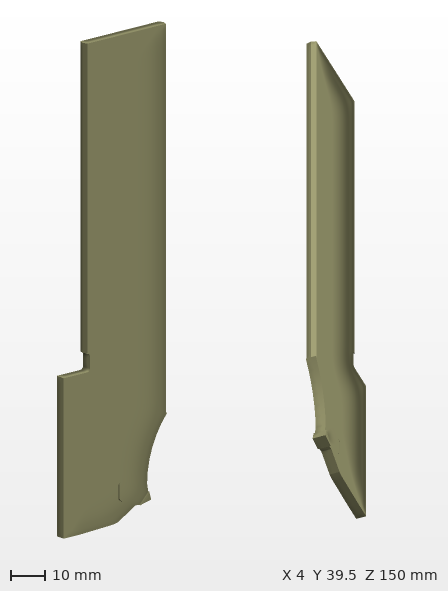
import cadquery as cq


height = 150.0
blade_thickness = 3.2
shank_back_y = 8.5
shank_front_y = 39.5
bevel_depth = 0.5
cut_size = 7.5

notch_bottom_z = 49.2
notch_top_z = 54.9
notch_y = 10.0
notch_radius = 1.2

throat_top = (shank_front_y, 30.6)
throat_middle = (34.2, 22.2)
insert_top_front = (31.8, 10.4)
chin_top = (27.3, 4.6)
chin_bottom = (20.8, 0.9)
chin_curve_middle = (19.6, 0.6)
base_front = (18.3, 0.5)
base_flat_y = 6.0

insert_top_bend = (24.3, 13.0)
insert_top_back = (21.8, 13.0)
insert_back_y = 21.3
insert_back_top_z = 12.3
insert_back_bottom_z = 7.8
insert_bottom_bend = (22.8, 6.3)
insert_heel = (28.8, 4.5)
insert_tip = (33.0, 5.4)
seat_clearance = 0.5
cutting_width = 4.0
corner_top = (32.2, 8.0)


def extrude_profile(sketch, width):
    """Extrude a closed YZ outline symmetrically about X = 0."""
    return sketch.close().extrude(width / 2, both=True)


def make_blank():
    """Blade outline, before the edge bevels and the insert seat."""
    outline = (
        cq.Workplane("YZ")
        .moveTo(0, 0)
        .lineTo(0, notch_bottom_z)
        .lineTo(notch_y - notch_radius, notch_bottom_z)
        .radiusArc((notch_y, notch_bottom_z + notch_radius), -notch_radius)
        .lineTo(notch_y, notch_top_z - notch_radius)
        .radiusArc((notch_y - notch_radius, notch_top_z), -notch_radius)
        .lineTo(shank_back_y, notch_top_z)
        .lineTo(shank_back_y, height)
        .lineTo(shank_front_y, height)
        .lineTo(*throat_top)
        .threePointArc(throat_middle, insert_top_front)
        .lineTo(*chin_top)
        .lineTo(*chin_bottom)
        .threePointArc(chin_curve_middle, base_front)
        .lineTo(base_flat_y, 0)
    )
    return extrude_profile(outline, blade_thickness)


def make_bevel_cutter(edge_y, inward, side, bottom_z):
    """Prism that slopes one side of a shank edge back from the ridge at X = 0."""
    half = blade_thickness / 2
    slope = bevel_depth / half
    reach_x = half + cut_size
    return (
        cq.Workplane("XY", origin=(0, 0, bottom_z))
        .moveTo(0, edge_y)
        .lineTo(side * reach_x, edge_y + inward * slope * reach_x)
        .lineTo(side * reach_x, edge_y - inward * cut_size)
        .lineTo(0, edge_y - inward * cut_size)
        .close()
        .extrude(height - bottom_z)
    )


def make_seat_cutter():
    """Insert pocket, set back behind the insert and open at the throat."""
    seat_back_y = insert_back_y - seat_clearance
    outline = (
        cq.Workplane("YZ")
        .moveTo(*insert_top_front)
        .lineTo(*insert_top_bend)
        .lineTo(*insert_top_back)
        .lineTo(seat_back_y, insert_back_top_z)
        .lineTo(seat_back_y, insert_back_bottom_z)
        .lineTo(*insert_bottom_bend)
        .lineTo(*chin_top)
        .lineTo(*insert_heel)
        .lineTo(*insert_tip)
    )
    return extrude_profile(outline, blade_thickness)


def make_blade():
    blade = make_blank()
    for side in (-1, 1):
        blade = blade.cut(make_bevel_cutter(shank_back_y, 1, side, notch_top_z))
        blade = blade.cut(make_bevel_cutter(shank_front_y, -1, side, throat_top[1]))
    return blade.cut(make_seat_cutter())


def make_insert():
    """Insert flush with the blade, widened at the cutting corner."""
    body_outline = (
        cq.Workplane("YZ")
        .moveTo(*insert_top_front)
        .lineTo(*insert_top_bend)
        .lineTo(*insert_top_back)
        .lineTo(insert_back_y, insert_back_top_z)
        .lineTo(insert_back_y, insert_back_bottom_z)
        .lineTo(*insert_bottom_bend)
        .lineTo(*chin_top)
        .lineTo(*insert_heel)
        .lineTo(*insert_tip)
        .lineTo(*corner_top)
    )
    corner_outline = (
        cq.Workplane("YZ").moveTo(*corner_top).lineTo(*insert_heel).lineTo(*insert_tip)
    )
    body = extrude_profile(body_outline, blade_thickness)
    return body.union(extrude_profile(corner_outline, cutting_width))


blade = make_blade()
insert = make_insert()
result = cq.Compound.makeCompound([blade.val(), insert.val()])